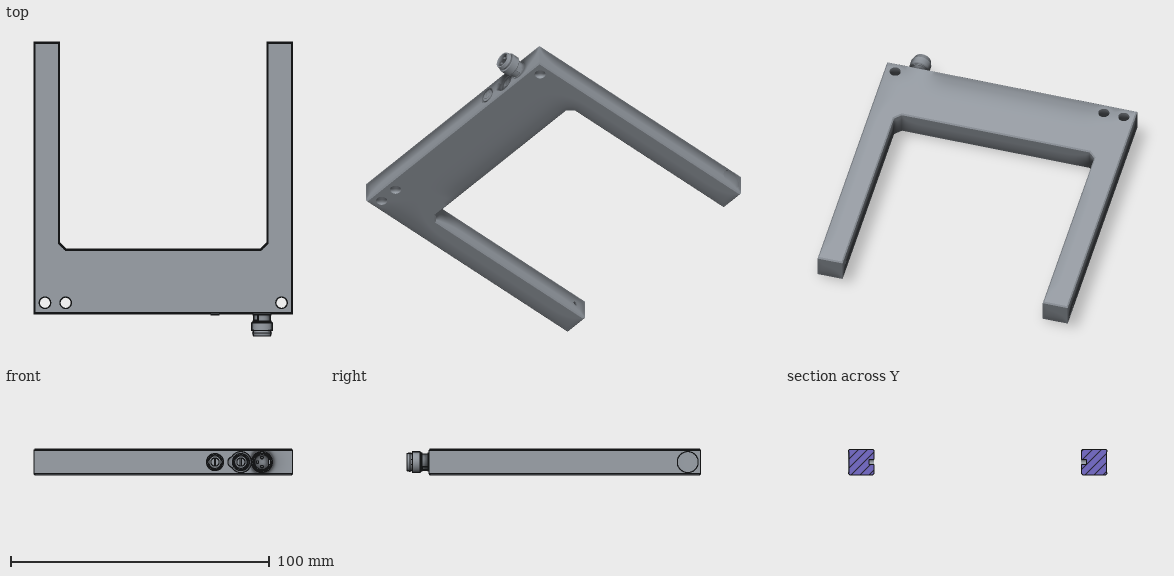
import cadquery as cq
import math

WIDTH = 100.0
LENGTH = 105.0
THICKNESS = 10.0
ARM_WIDTH = 10.0
BASE_LENGTH = 25.0
THROAT_CORNER = 2.5
EDGE_CHAMFER = 0.5

MOUNT_DIAMETER = 4.3
MOUNT_INSET = 4.3
MOUNT_SPACING = 8.0

BEAM_INSET = 5.0
BEAM_HOLE_DIAMETER = 1.8
BEAM_HOLE_DEPTH = 2.0
CAP_DIAMETER = 8.1
CAP_RECESS = 0.1

ADJUSTER_X = 20.0
SUNK_ADJUSTER_X = 30.0
ADJUSTER_DIAMETER = 6.6
ADJUSTER_STEP_DIAMETER = 5.7
ADJUSTER_STEP_DEPTH = 0.3
ADJUSTER_INNER_DIAMETER = 4.8
ADJUSTER_GROOVE_DEPTH = 0.6
KNOB_DIAMETER = 3.2
KNOB_HEIGHT = 0.4
KNOB_SLOT_WIDTH = 0.5
KNOB_SLOT_DEPTH = 0.3
POCKET_DIAMETER = 8.1
POCKET_DEPTH = 1.5
LOBE_DIAMETER = 4.3
LOBE_OFFSET = 2.9

CONNECTOR_X = 38.15
PLUG_LENGTH = 8.54
NECK_DIAMETER = 6.9
GROOVE_DIAMETER = 6.4
GROOVE_START = 0.4
GROOVE_END = 2.7
NUT_START = 3.1
NUT_END = 6.4
NUT_DIAMETER = 8.08
NUT_CHAMFER = 0.4
NOSE_DIAMETER = 6.4
LIP_PEAK = 7.3
LIP_DIAMETER = 7.2
TIP_DIAMETER = 6.6
SOCKET_DIAMETER = 5.7
SOCKET_DEPTH = 5.0
SOCKET_KEY_WIDTH = 2.0
SOCKET_KEY_HEIGHT = 0.4
PIN_DIAMETER = 1.0
PIN_CIRCLE_RADIUS = 1.75
PIN_LENGTH = 4.0
PIN_ANGLES = (90, 180, 270)
NECK_KEY_ANGLES = (133, 313)
NECK_KEY_WIDTH = 1.8
NECK_KEY_LENGTH = 2.0


def front_disc(x, diameter, start, end, z=0.0):
    """Cylinder along Y from one outward distance to another; negative is inside the housing."""
    disc = cq.Workplane("XZ").circle(diameter / 2).extrude(end - start)
    return disc.translate((x, -start, z))


def side_disc(x, diameter, length):
    """Cylinder along +X through the beam axis, starting at x."""
    disc = cq.Workplane("YZ").circle(diameter / 2).extrude(length)
    return disc.translate((x, LENGTH - BEAM_INSET, 0))


def make_housing():
    half = WIDTH / 2
    inner = half - ARM_WIDTH
    outline = (
        cq.Workplane("XY")
        .moveTo(-half, 0)
        .lineTo(half, 0)
        .lineTo(half, LENGTH)
        .lineTo(inner, LENGTH)
        .lineTo(inner, BASE_LENGTH + THROAT_CORNER)
        .lineTo(inner - THROAT_CORNER, BASE_LENGTH)
        .lineTo(THROAT_CORNER - inner, BASE_LENGTH)
        .lineTo(-inner, BASE_LENGTH + THROAT_CORNER)
        .lineTo(-inner, LENGTH)
        .lineTo(-half, LENGTH)
        .close()
    )
    housing = outline.extrude(THICKNESS / 2, both=True)
    return housing.faces("|Z").edges().chamfer(EDGE_CHAMFER)


def cut_mount_holes(body):
    left = MOUNT_INSET - WIDTH / 2
    places = [(x, MOUNT_INSET) for x in (left, left + MOUNT_SPACING, -left)]
    holes = cq.Workplane("XY").pushPoints(places).circle(MOUNT_DIAMETER / 2).extrude(THICKNESS, both=True)
    return body.cut(holes)


def cut_optics(body):
    """Beam hole on the inner wall and shallow round recess on the outer wall of each arm."""
    half = WIDTH / 2
    inner = half - ARM_WIDTH
    body = body.cut(side_disc(inner, BEAM_HOLE_DIAMETER, BEAM_HOLE_DEPTH))
    body = body.cut(side_disc(-inner - BEAM_HOLE_DEPTH, BEAM_HOLE_DIAMETER, BEAM_HOLE_DEPTH))
    body = body.cut(side_disc(-half, CAP_DIAMETER, CAP_RECESS))
    return body.cut(side_disc(half - CAP_RECESS, CAP_DIAMETER, CAP_RECESS))


def cut_pocket(body):
    """Keyhole pocket: a round recess with a smaller lobe towards -X."""
    body = body.cut(front_disc(SUNK_ADJUSTER_X, POCKET_DIAMETER, -POCKET_DEPTH, 0))
    return body.cut(front_disc(SUNK_ADJUSTER_X - LOBE_OFFSET, LOBE_DIAMETER, -POCKET_DEPTH, 0))


def add_adjuster(body, x, seat):
    """Stepped ring groove around a slotted knob, set on a face at the given outward distance."""
    groove = front_disc(x, ADJUSTER_DIAMETER, seat - ADJUSTER_STEP_DEPTH, seat)
    groove = groove.union(front_disc(x, ADJUSTER_STEP_DIAMETER, seat - ADJUSTER_GROOVE_DEPTH, seat))
    groove = groove.cut(front_disc(x, ADJUSTER_INNER_DIAMETER, seat - ADJUSTER_GROOVE_DEPTH, seat))
    body = body.cut(groove)
    knob_top = seat + KNOB_HEIGHT
    body = body.union(front_disc(x, KNOB_DIAMETER, seat, knob_top))
    slot = cq.Workplane("XY").box(KNOB_SLOT_WIDTH, KNOB_SLOT_DEPTH, KNOB_DIAMETER)
    return body.cut(slot.translate((x, KNOB_SLOT_DEPTH / 2 - knob_top, 0)))


def make_plug_body():
    """Revolved connector shell with neck groove, coupling nut and snap lip."""
    profile = [
        (0, 0),
        (NECK_DIAMETER / 2, 0),
        (NECK_DIAMETER / 2, GROOVE_START),
        (GROOVE_DIAMETER / 2, GROOVE_START),
        (GROOVE_DIAMETER / 2, GROOVE_END),
        (NECK_DIAMETER / 2, GROOVE_END),
        (NECK_DIAMETER / 2, NUT_START),
        (NUT_DIAMETER / 2 - NUT_CHAMFER, NUT_START),
        (NUT_DIAMETER / 2, NUT_START + NUT_CHAMFER),
        (NUT_DIAMETER / 2, NUT_END),
        (NOSE_DIAMETER / 2, NUT_END),
        (LIP_DIAMETER / 2, LIP_PEAK),
        (TIP_DIAMETER / 2, PLUG_LENGTH),
        (0, PLUG_LENGTH),
    ]
    shell = cq.Workplane("XY").polyline([(r, -y) for r, y in profile]).close()
    shell = shell.revolve(360, (0, 0, 0), (0, 1, 0))
    return shell.translate((CONNECTOR_X, 0, 0))


def make_neck_key(angle):
    """Small block that fills part of the neck groove at an angle measured from +X towards +Z."""
    reach = NECK_DIAMETER / 2
    key = cq.Workplane("XY").box(reach, NECK_KEY_LENGTH, NECK_KEY_WIDTH)
    key = key.translate((reach / 2, -GROOVE_START - NECK_KEY_LENGTH / 2, 0))
    key = key.rotate((0, 0, 0), (0, 1, 0), -angle)
    return key.translate((CONNECTOR_X, 0, 0))


def make_socket_key():
    """Coding rib along the +X side of the socket wall, sunk halfway into the shell."""
    shell_middle = (SOCKET_DIAMETER + TIP_DIAMETER) / 4
    rib_start = SOCKET_DIAMETER / 2 - SOCKET_KEY_HEIGHT
    thickness = shell_middle - rib_start
    rib = cq.Workplane("XY").box(thickness, SOCKET_DEPTH, SOCKET_KEY_WIDTH)
    return rib.translate((CONNECTOR_X + rib_start + thickness / 2, SOCKET_DEPTH / 2 - PLUG_LENGTH, 0))


def make_connector():
    socket_floor = PLUG_LENGTH - SOCKET_DEPTH
    plug = make_plug_body()
    for angle in NECK_KEY_ANGLES:
        plug = plug.union(make_neck_key(angle))
    plug = plug.cut(front_disc(CONNECTOR_X, SOCKET_DIAMETER, socket_floor, PLUG_LENGTH))
    plug = plug.union(make_socket_key())
    for angle in PIN_ANGLES:
        x = CONNECTOR_X + PIN_CIRCLE_RADIUS * math.cos(math.radians(angle))
        z = PIN_CIRCLE_RADIUS * math.sin(math.radians(angle))
        plug = plug.union(front_disc(x, PIN_DIAMETER, socket_floor, socket_floor + PIN_LENGTH, z))
    return plug


result = make_housing()
result = cut_mount_holes(result)
result = cut_optics(result)
result = cut_pocket(result)
result = add_adjuster(result, ADJUSTER_X, 0)
result = add_adjuster(result, SUNK_ADJUSTER_X, -POCKET_DEPTH)
result = result.union(make_connector())